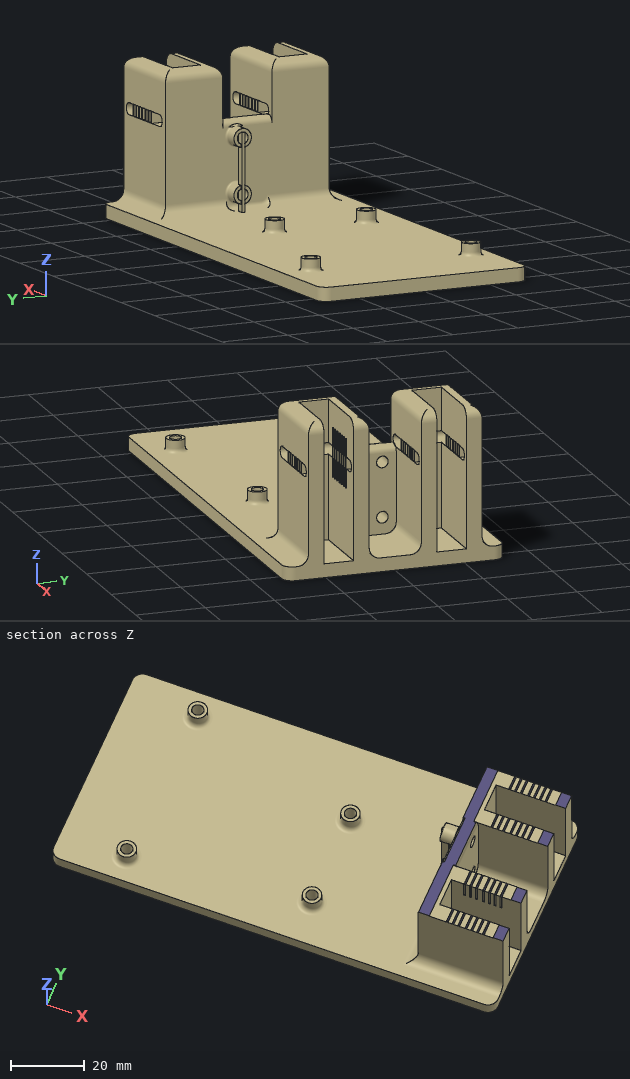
import cadquery as cq
import math

COS_45 = math.cos(math.radians(45))

PLATE_LENGTH = 130.0
PLATE_WIDTH = 63.3
PLATE_THICKNESS = 4.0
PLATE_CORNER_RADIUS = 3.0

BOSS_DIAMETER = 5.3
BOSS_HOLE_DIAMETER = 3.3
BOSS_LENGTH = 4.0

BOARD_ORIGIN = (19.6, -24.15)
BOARD_HOLES = [(0, 0), (1.4, 48.2), (52.1, 5.1), (52.1, 33.1)]
PLATE_BOSS_FILLET = 1.5

TOWER_SPACING = 32.5
TOWER_LENGTH = 24.85
TOWER_WIDTH = 17.5
TOWER_TOP_Z = 44.0
TOWER_TOP_FILLET = 3.15
TOWER_FOOT_RADIUS = 3.15
WALL = 4.5
TOWER_FRONT_X = PLATE_LENGTH - TOWER_LENGTH
FOOT_FRONT_X = TOWER_FRONT_X - TOWER_FOOT_RADIUS
FOOT_LENGTH = PLATE_LENGTH - FOOT_FRONT_X
FOOT_TOP_Z = PLATE_THICKNESS + TOWER_FOOT_RADIUS
POCKET_WIDTH = TOWER_WIDTH - 2 * WALL

SLOT_LENGTH = 21.2
SLOT_HEIGHT = 3.3
SLOT_CENTER_X = 117.7
SLOT_CENTER_Z = 30.0
BAR_THICKNESS = 0.5
BAR_PITCH = 1.69
FRONT_BAR_COUNT = 3
FRONT_BARS_X = 113.57
REAR_BAR_COUNT = 4
REAR_BARS_X = 119.07
BAR_CENTERS = [FRONT_BARS_X + i * BAR_PITCH for i in range(FRONT_BAR_COUNT)]
BAR_CENTERS += [REAR_BARS_X + i * BAR_PITCH for i in range(REAR_BAR_COUNT)]

RIB_DEPTH = 0.2
RIB_TOP_Z = 37.0
RIB_BOTTOM_Z = 2 * SLOT_CENTER_Z - RIB_TOP_Z

WEB_TOP_Z = 29.0
WEB_TOP_FILLET = 2.0
WEB_FOOT_RADIUS = 1.5
WEB_WIDTH = TOWER_SPACING - TOWER_WIDTH

WEB_BOSS_Y = 3.5
WEB_BOSS_HEIGHTS = [8.8, 24.5]
WEB_BOSS_FILLET = 0.6
BLADE_THICKNESS = 0.9
BLADE_START_X = 100.7
BLADE_END_X = 102.7
BLADE_TOP_Z = max(WEB_BOSS_HEIGHTS) + BOSS_HOLE_DIAMETER / 2


def block(x_range, y_range, z_range):
    """Axis-aligned box between the given limits."""
    size = [high - low for low, high in (x_range, y_range, z_range)]
    corner = (x_range[0], y_range[0], z_range[0])
    return cq.Workplane("XY").box(*size, centered=False).translate(corner)


def rod(start, direction, diameter, length):
    """Cylinder running from a start point along a direction."""
    return cq.Workplane(cq.Solid.makeCylinder(diameter / 2, length, cq.Vector(*start), cq.Vector(*direction)))


def boss(fillet):
    """Upright boss on the XY plane with a concave fillet at its foot."""
    radius = BOSS_DIAMETER / 2
    drop = fillet * (1 - COS_45)
    return (
        cq.Workplane("XZ")
        .lineTo(radius + fillet, 0)
        .threePointArc((radius + drop, drop), (radius, fillet))
        .lineTo(radius, BOSS_LENGTH)
        .lineTo(0, BOSS_LENGTH)
        .close()
        .revolve(360, (0, 0), (0, 1))
    )


def make_plate():
    plate = block((0, PLATE_LENGTH), (-PLATE_WIDTH / 2, PLATE_WIDTH / 2), (0, PLATE_THICKNESS))
    plate = plate.edges("|Z").fillet(PLATE_CORNER_RADIUS)
    for dx, dy in BOARD_HOLES:
        x = BOARD_ORIGIN[0] + dx
        y = BOARD_ORIGIN[1] + dy
        plate = plate.union(boss(PLATE_BOSS_FILLET).translate((x, y, PLATE_THICKNESS)))
        plate = plate.cut(rod((x, y, 0), (0, 0, 1), BOSS_HOLE_DIAMETER, PLATE_THICKNESS + BOSS_LENGTH))
    return plate


def make_tower_foot():
    """Coved skirt with mitred corners around the front and both sides of a tower."""
    side = TOWER_WIDTH / 2 + TOWER_FOOT_RADIUS
    foot = block((FOOT_FRONT_X, PLATE_LENGTH), (-side, side), (PLATE_THICKNESS, FOOT_TOP_Z))
    foot = foot.cut(rod((FOOT_FRONT_X, -side, FOOT_TOP_Z), (0, 1, 0), 2 * TOWER_FOOT_RADIUS, 2 * side))
    for y in (-side, side):
        foot = foot.cut(rod((FOOT_FRONT_X, y, FOOT_TOP_Z), (1, 0, 0), 2 * TOWER_FOOT_RADIUS, FOOT_LENGTH))
    return foot


def bar_x_range(center):
    """X limits of the bar with the given center."""
    return (center - BAR_THICKNESS / 2, center + BAR_THICKNESS / 2)


def make_slot():
    """Round-ended slot across the whole tower, with the bars left standing."""
    slot = (
        cq.Workplane("XZ")
        .center(SLOT_CENTER_X, SLOT_CENTER_Z)
        .slot2D(SLOT_LENGTH, SLOT_HEIGHT)
        .extrude(TOWER_WIDTH / 2, both=True)
    )
    z_range = (SLOT_CENTER_Z - SLOT_HEIGHT, SLOT_CENTER_Z + SLOT_HEIGHT)
    for x in BAR_CENTERS:
        slot = slot.cut(block(bar_x_range(x), (-TOWER_WIDTH, TOWER_WIDTH), z_range))
    return slot


def make_tower():
    """Tower centred on Y = 0."""
    half_width = TOWER_WIDTH / 2
    tower = block((TOWER_FRONT_X, PLATE_LENGTH), (-half_width, half_width), (PLATE_THICKNESS, TOWER_TOP_Z))
    tower = tower.faces(">Z").edges().fillet(TOWER_TOP_FILLET)
    tower = tower.union(make_tower_foot())
    pocket = block(
        (TOWER_FRONT_X + WALL, PLATE_LENGTH),
        (-POCKET_WIDTH / 2, POCKET_WIDTH / 2),
        (PLATE_THICKNESS, TOWER_TOP_Z),
    )
    return tower.cut(pocket).cut(make_slot())


def add_ribs(body):
    """Ribs in line with the bars, in the pocket of the -Y tower."""
    wall_y = -WEB_WIDTH / 2 - WALL
    for x in BAR_CENTERS:
        body = body.union(block(bar_x_range(x), (wall_y - RIB_DEPTH, wall_y), (RIB_BOTTOM_Z, RIB_TOP_Z)))
    return body


def make_trough():
    """Space between the two tower feet, rounded where its floor and coves meet the web."""
    half_width = WEB_WIDTH / 2
    floor_half_width = half_width - TOWER_FOOT_RADIUS
    mid_y = floor_half_width + TOWER_FOOT_RADIUS * COS_45
    mid_z = FOOT_TOP_Z - TOWER_FOOT_RADIUS * COS_45
    trough = (
        cq.Workplane("YZ", origin=(FOOT_FRONT_X, 0, 0))
        .moveTo(-half_width, FOOT_TOP_Z)
        .threePointArc((-mid_y, mid_z), (-floor_half_width, PLATE_THICKNESS))
        .lineTo(floor_half_width, PLATE_THICKNESS)
        .threePointArc((mid_y, mid_z), (half_width, FOOT_TOP_Z))
        .close()
        .extrude(TOWER_FOOT_RADIUS)
    )
    return trough.faces(">X").edges("not >Z").fillet(WEB_FOOT_RADIUS)


def make_web_foot():
    """Fillet along the web's foot that climbs the coves of both towers."""
    half_width = WEB_WIDTH / 2
    y_range = (-half_width, half_width)
    foot = block((TOWER_FRONT_X - WEB_FOOT_RADIUS, TOWER_FRONT_X), y_range, (PLATE_THICKNESS, FOOT_TOP_Z))
    foot = foot.cut(make_trough())
    return foot.cut(rod((FOOT_FRONT_X, -half_width, FOOT_TOP_Z), (0, 1, 0), 2 * TOWER_FOOT_RADIUS, WEB_WIDTH))


def make_web():
    y_range = (-WEB_WIDTH / 2, WEB_WIDTH / 2)
    web = block((TOWER_FRONT_X, TOWER_FRONT_X + WALL), y_range, (PLATE_THICKNESS, WEB_TOP_Z))
    return web.faces(">Z").edges("|Y").fillet(WEB_TOP_FILLET).union(make_web_foot())


def add_web_bosses(body):
    """Drilled bosses pointing toward -X on the web, with the support blade."""
    boss_tip_x = TOWER_FRONT_X - BOSS_LENGTH
    for z in WEB_BOSS_HEIGHTS:
        web_boss = boss(WEB_BOSS_FILLET).rotate((0, 0, 0), (0, 1, 0), -90)
        body = body.union(web_boss.translate((TOWER_FRONT_X, WEB_BOSS_Y, z)))
        body = body.cut(rod((boss_tip_x, WEB_BOSS_Y, z), (1, 0, 0), BOSS_HOLE_DIAMETER, BOSS_LENGTH + WALL))
    blade = block(
        (BLADE_START_X, BLADE_END_X),
        (WEB_BOSS_Y - BLADE_THICKNESS / 2, WEB_BOSS_Y + BLADE_THICKNESS / 2),
        (PLATE_THICKNESS, BLADE_TOP_Z),
    )
    return body.union(blade)


body = make_plate()
for side in (-1, 1):
    body = body.union(make_tower().translate((0, side * TOWER_SPACING / 2, 0)))
body = add_ribs(body)
body = body.union(make_web())
result = add_web_bosses(body)